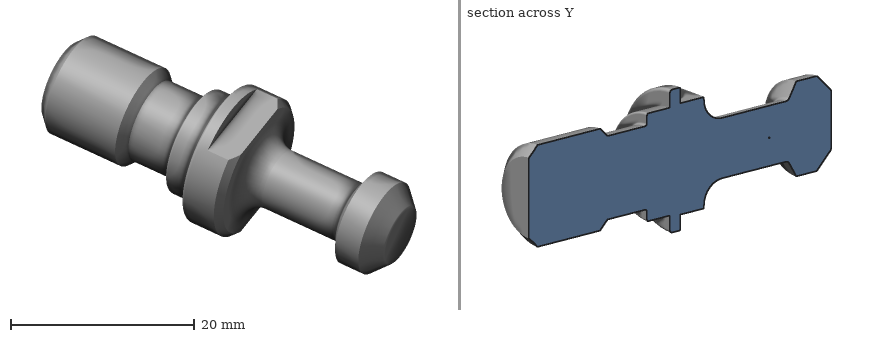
import cadquery as cq


overall_length = 43.03
collar_start = 16.78
flange_start = 20.04
flange_end = 24.96
head_length = 5.02

plug_radius = 11.76 / 2
neck_radius = 9.65 / 2
collar_radius = 12.45 / 2
flange_radius = 16.48 / 2
shank_radius = 6.99 / 2
head_radius = 10.97 / 2

plug_lead_chamfer = 1.25
plug_shoulder_end = 11.22

collar_edge_radius = 0.25
neck_corner_radius = 0.25
flange_edge_radius = 0.38
flange_back_chamfer = 0.76
shank_fillet_radius = 2.54

head_front_chamfer = 2.05
head_back_cone_length = 1.14
head_corner_radius = 0.56
head_tip_radius = 0.38

across_flats = 12.84
flats_start = 21.56


def turned_blank():
    """Revolve the half profile about the X axis."""
    shoulder_chamfer = plug_radius - neck_radius
    head_back = overall_length - head_length
    profile = (
        cq.Workplane("XY")
        .moveTo(0, 0)
        .lineTo(0, plug_radius - plug_lead_chamfer)
        .lineTo(plug_lead_chamfer, plug_radius)
        .lineTo(plug_shoulder_end - shoulder_chamfer, plug_radius)
        .lineTo(plug_shoulder_end, neck_radius)
        .lineTo(collar_start, neck_radius)
        .lineTo(collar_start, collar_radius)
        .lineTo(flange_start, collar_radius)
        .lineTo(flange_start, flange_radius)
        .lineTo(flange_end - flange_back_chamfer, flange_radius)
        .lineTo(flange_end, flange_radius - flange_back_chamfer)
        .lineTo(flange_end, shank_radius)
        .lineTo(head_back - head_back_cone_length, shank_radius)
        .lineTo(head_back, head_radius)
        .lineTo(overall_length - head_front_chamfer, head_radius)
        .lineTo(overall_length, head_radius - head_front_chamfer)
        .lineTo(overall_length, 0)
        .close()
    )
    return profile.revolve(360, (0, 0, 0), (1, 0, 0))


def fillet_circle(body, x, radius, fillet_radius):
    """Fillet the circular edge of the given radius lying at station x."""
    tolerance = 0.01

    def on_circle(edge):
        if edge.geomType() != "CIRCLE":
            return False
        same_station = abs(edge.Center().x - x) < tolerance
        return same_station and abs(edge.radius() - radius) < tolerance

    return body.edges().filter(on_circle).fillet(fillet_radius)


def round_edges(body):
    """Round the outer edges and the inside corners of the turned blank."""
    cone_start = overall_length - head_length - head_back_cone_length
    tip_radius = head_radius - head_front_chamfer
    body = fillet_circle(body, collar_start, neck_radius, neck_corner_radius)
    body = fillet_circle(body, collar_start, collar_radius, collar_edge_radius)
    body = fillet_circle(body, flange_start, flange_radius, flange_edge_radius)
    body = fillet_circle(body, flange_end, shank_radius, shank_fillet_radius)
    body = fillet_circle(body, cone_start, shank_radius, head_corner_radius)
    return fillet_circle(body, overall_length, tip_radius, head_tip_radius)


def cut_wrench_flats(body):
    """Mill two opposite flats, facing +Z and -Z, from the shank side of the flange."""
    flats_length = flange_end - flats_start
    cutter_width = 2 * flange_radius
    cutter_height = flange_radius
    for side in (1, -1):
        cutter_x = flats_start + flats_length / 2
        cutter_z = side * (across_flats + cutter_height) / 2
        cutter = cq.Workplane("XY").box(flats_length, cutter_width, cutter_height)
        body = body.cut(cutter.translate((cutter_x, 0, cutter_z)))
    return body


result = cut_wrench_flats(round_edges(turned_blank()))